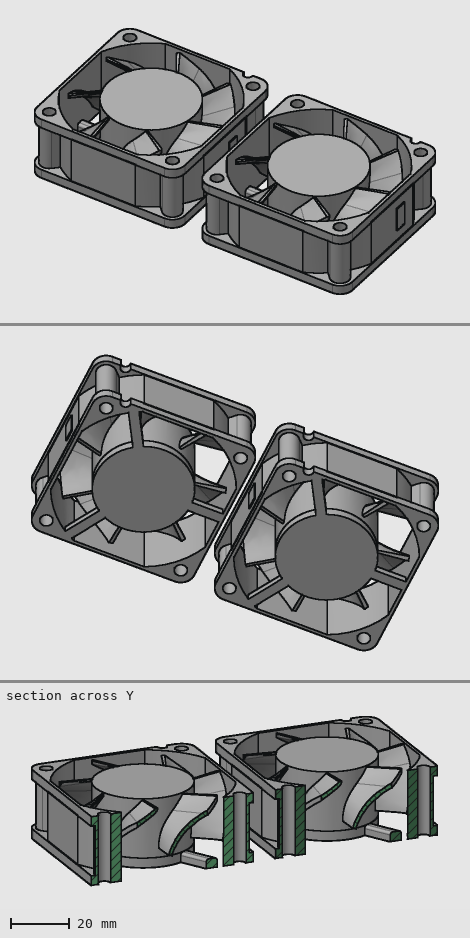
import cadquery as cq
import math

FAN_COUNT = 2
FAN_PITCH = 68.0

FRAME_SIDE = 60.0
FRAME_HEIGHT = 25.0
FLANGE_THICKNESS = 3.6
CORNER_RADIUS = 5.0
HOLE_DIAMETER = 4.5
BOSS_RADIUS = 3.6
OPENING_RADIUS = 31.5
OPENING_FLAT = 28.7
WALL_RADIUS = 32.4
WALL_FLAT = 29.7
NOTCH_RADIUS = 1.8
NOTCH_X = 19.9
NOTCH_DEPTH = 2.0
PLATE_WIDTH = 4.6
PLATE_HEIGHT = 9.2
PLATE_Y = 5.0
PLATE_RAISE = 0.1

STRUT_WIDTH = 3.6
STRUT_FILLET = 1.0
STRUT_COUNT = 3
FIRST_STRUT_ANGLE = 60.0

HUB_RADIUS = 17.4
ROTOR_RADIUS = 28.5
BLADE_COUNT = 7
FIRST_BLADE_ANGLE = 82.0
TIP_CORNER_RADIUS = 0.8
NOSE_BULGE = 0.3

LEADING_Z = 24.5
TRAILING_Z = 6.9
ROOT_X = 15.4
ROOT_LEAD = (1.4, LEADING_Z)
ROOT_MIDDLE = (-2.5, 19.6)
ROOT_TRAIL = (-6.7, TRAILING_Z)
ROOT_THICKNESS = 1.0
ROOT_STRIP = 0.8
TIP_X = 29.5
TIP_LEAD = (12.5, LEADING_Z)
TIP_MIDDLE = (3.7, 20.5)
TIP_TRAIL = (-10.6, TRAILING_Z)
TIP_THICKNESS = 1.8
TIP_STRIP = 1.8

HOLE_OFFSET = FRAME_SIDE / 2 - CORNER_RADIUS


def flattened_cylinder(radius, flat, z_bottom, z_top):
    """Upright cylinder cut by four flats, each at the distance flat from the axis."""
    height = z_top - z_bottom
    base = cq.Workplane("XY", origin=(0, 0, z_bottom))
    return base.circle(radius).extrude(height).intersect(base.rect(2 * flat, 2 * flat).extrude(height))


def flange(z_bottom):
    """Square end plate with rounded corners."""
    plate = cq.Workplane("XY", origin=(0, 0, z_bottom)).rect(FRAME_SIDE, FRAME_SIDE)
    return plate.extrude(FLANGE_THICKNESS).edges("|Z").fillet(CORNER_RADIUS)


def corner_boss(angle):
    """Post around one mounting hole with straight sides running in to the wall."""
    hole_distance = HOLE_OFFSET * math.sqrt(2)
    web_length = hole_distance - OPENING_RADIUS
    base = cq.Workplane("XY")
    post = base.center(hole_distance, 0).circle(BOSS_RADIUS).extrude(FRAME_HEIGHT)
    web = base.center(hole_distance - web_length / 2, 0).rect(web_length, 2 * BOSS_RADIUS)
    return post.union(web.extrude(FRAME_HEIGHT)).rotate((0, 0, 0), (0, 0, 1), angle)


def strut(angle):
    """Bar with rounded top edges from the axis out to the wall."""
    bar = cq.Workplane("XY").center(WALL_RADIUS / 2, 0).rect(WALL_RADIUS, STRUT_WIDTH)
    bar = bar.extrude(FLANGE_THICKNESS).edges("|X and >Z").fillet(STRUT_FILLET)
    return bar.rotate((0, 0, 0), (0, 0, 1), angle)


def motor_base():
    """Disc under the rotor with three struts that hold it to the wall."""
    base = cq.Workplane("XY").circle(HUB_RADIUS).extrude(FLANGE_THICKNESS)
    for index in range(STRUT_COUNT):
        base = base.union(strut(FIRST_STRUT_ANGLE + index * 360 / STRUT_COUNT))
    return base.intersect(flattened_cylinder(WALL_RADIUS, WALL_FLAT, 0, FRAME_HEIGHT))


def raised_plate():
    """Thin plate on the +X flat of the wall."""
    thickness = FRAME_SIDE / 2 + PLATE_RAISE - OPENING_FLAT
    center = (OPENING_FLAT + thickness / 2, PLATE_Y, FRAME_HEIGHT / 2)
    return cq.Workplane("XY").box(thickness, PLATE_WIDTH, PLATE_HEIGHT).translate(center)


def make_housing():
    body = flattened_cylinder(WALL_RADIUS, WALL_FLAT, 0, FRAME_HEIGHT)
    body = body.union(flange(0)).union(flange(FRAME_HEIGHT - FLANGE_THICKNESS))
    for corner in range(4):
        body = body.union(corner_boss(45 + 90 * corner))
    body = body.cut(flattened_cylinder(OPENING_RADIUS, OPENING_FLAT, 0, FRAME_HEIGHT))

    holes = cq.Workplane("XY").rect(2 * HOLE_OFFSET, 2 * HOLE_OFFSET, forConstruction=True).vertices()
    body = body.cut(holes.circle(HOLE_DIAMETER / 2).extrude(FRAME_HEIGHT))

    notch_y = FRAME_SIDE / 2 - NOTCH_DEPTH + NOTCH_RADIUS
    notch = cq.Workplane("XY").center(NOTCH_X, notch_y).circle(NOTCH_RADIUS)
    body = body.cut(notch.extrude(FRAME_HEIGHT))

    return body.union(raised_plate()).union(motor_base())


def blade_section(distance, lead, middle, trail, thickness, strip):
    """Blade profile in the plane x = distance, from points (y, z) on its upper face.

    The upper face is straight from lead to middle, then curves down to trail. The lower
    face lies parallel to it. A level strip of the given width and a rounded nose lead the blade.
    """
    straight = math.atan2(middle[1] - lead[1], middle[0] - lead[0])
    chord = math.atan2(trail[1] - middle[1], trail[0] - middle[0])
    final = 2 * chord - straight

    def shifted(point, direction, along, inward):
        return (
            point[0] + along * math.cos(direction) - inward * math.sin(direction),
            point[1] + along * math.sin(direction) + inward * math.cos(direction),
        )

    def arc_middle(start, end):
        sagitta = math.dist(start, end) / 2 * math.tan((straight - chord) / 2)
        center = ((start[0] + end[0]) / 2, (start[1] + end[1]) / 2)
        return shifted(center, chord, 0, sagitta)

    lower_lead = shifted(lead, straight, 0, thickness)
    lower_middle = shifted(middle, straight, 0, thickness)
    lower_trail = shifted(trail, final, 0, thickness)
    strip_end = (lead[0] + strip, lead[1])
    nose_center = ((strip_end[0] + lower_lead[0]) / 2, (strip_end[1] + lower_lead[1]) / 2)
    nose = shifted(nose_center, straight, -NOSE_BULGE, 0)
    return (
        cq.Workplane("YZ", origin=(distance, 0, 0))
        .moveTo(*lead)
        .lineTo(*middle)
        .threePointArc(arc_middle(middle, trail), trail)
        .lineTo(*lower_trail)
        .threePointArc(arc_middle(lower_trail, lower_middle), lower_middle)
        .lineTo(*lower_lead)
        .threePointArc(nose, strip_end)
        .close()
        .wire()
        .val()
    )


def blade_trim():
    """Upright prism behind the leading edge, round at the rotor radius, with a rounded tip corner."""
    slope = (TIP_LEAD[0] + TIP_STRIP - ROOT_LEAD[0] - ROOT_STRIP) / (TIP_X - ROOT_X)
    axis_y = ROOT_LEAD[0] + ROOT_STRIP - slope * ROOT_X
    outline = cq.Workplane("XY").polyline(
        [
            (0, axis_y),
            (2 * ROTOR_RADIUS, axis_y + slope * 2 * ROTOR_RADIUS),
            (2 * ROTOR_RADIUS, -2 * ROTOR_RADIUS),
            (0, -2 * ROTOR_RADIUS),
        ]
    )
    trim = outline.close().extrude(FRAME_HEIGHT)
    trim = trim.intersect(cq.Workplane("XY").circle(ROTOR_RADIUS).extrude(FRAME_HEIGHT))
    return trim.edges("|Z and >Y").fillet(TIP_CORNER_RADIUS)


def make_blade():
    """Twisted blade along +X: straight-ruled between two profiles, trimmed to the rotor radius."""
    root = blade_section(ROOT_X, ROOT_LEAD, ROOT_MIDDLE, ROOT_TRAIL, ROOT_THICKNESS, ROOT_STRIP)
    tip = blade_section(TIP_X, TIP_LEAD, TIP_MIDDLE, TIP_TRAIL, TIP_THICKNESS, TIP_STRIP)
    blade = cq.Workplane(cq.Solid.makeLoft([root, tip], True))
    return blade.intersect(blade_trim())


def make_rotor():
    """Hub with its blades, resting on the motor base and flush with the housing top."""
    hub = cq.Workplane("XY", origin=(0, 0, FLANGE_THICKNESS)).circle(HUB_RADIUS)
    rotor = hub.extrude(FRAME_HEIGHT - FLANGE_THICKNESS)
    blade = make_blade()
    for index in range(BLADE_COUNT):
        angle = FIRST_BLADE_ANGLE + index * 360 / BLADE_COUNT
        rotor = rotor.union(blade.rotate((0, 0, 0), (0, 0, 1), angle))
    return rotor


housing = make_housing()
rotor = make_rotor()

bodies = []
for fan in range(FAN_COUNT):
    place = (fan * FAN_PITCH, 0, 0)
    bodies.append(housing.translate(place).val())
    bodies.append(rotor.translate(place).val())

result = cq.Compound.makeCompound(bodies)